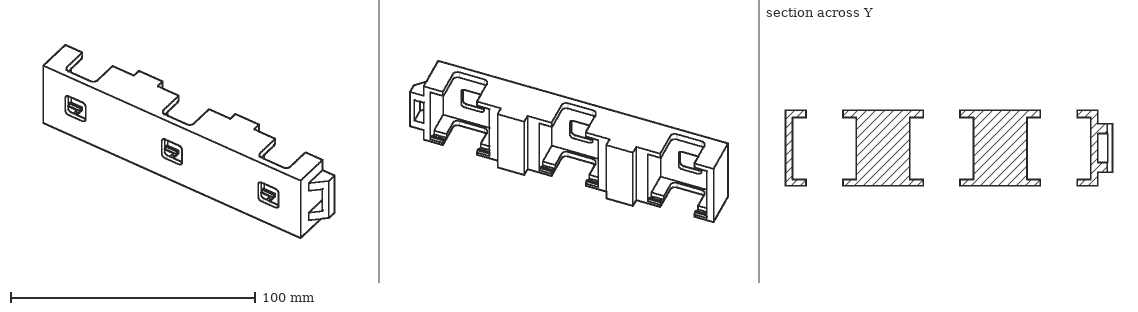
import cadquery as cq

body_length = 128.0
body_depth = 16.0
height = 31.0
mid_z = height / 2

channel_count = 3
channel_pitch = 48.0
first_channel_x = body_length / 2 - channel_pitch
channel_width = 15.0
front_plate = 3.0
channel_fillet = 2.0
window_size = 10.0
window_fillet = 1.6

tab_width = 11.8
tab_projection = 3.6

pocket_width = 26.0
window_plate = 2.0
upper_flange = 3.1
lower_flange = 2.7
entry_chamfer = 0.7

groove_start = 11.9
groove_floor = 0.5
lip_thickness = 1.6
lip_height = 2.0

overall_length = 134
catch_length = overall_length - body_length
catch_height = 20.0
catch_tip_depth = 4.2
catch_root_depth = 10.0
catch_opening_height = 11.8
catch_opening_length = 4.0

channel_centers = [first_channel_x + i * channel_pitch for i in range(channel_count)]
tab_centers = [x + channel_pitch / 2 for x in channel_centers[:-1]]


def block(x_start, y_start, z_start, x_size, y_size, z_size):
    """Axis-aligned box placed by its lowest corner."""
    box = cq.Workplane("XY").box(x_size, y_size, z_size, centered=False)
    return box.translate((x_start, y_start, z_start))


def make_channel(center_x):
    """Full-height channel with rounded corners along its floor."""
    depth = body_depth - front_plate
    channel = block(center_x - channel_width / 2, front_plate, 0, channel_width, depth, height)
    return channel.edges("|Z and <Y").fillet(channel_fillet)


def make_pocket(center_x):
    """Pocket with a flat ceiling and a floor that drops into a groove before the lip."""
    lip_start = body_depth - lip_thickness
    ceiling = height - upper_flange
    chamfer_start = body_depth - entry_chamfer
    profile = [
        (window_plate, lower_flange),
        (groove_start, lower_flange),
        (groove_start, groove_floor),
        (lip_start, groove_floor),
        (lip_start, lip_height),
        (chamfer_start, lip_height),
        (body_depth, lip_height - entry_chamfer),
        (body_depth, ceiling + entry_chamfer),
        (chamfer_start, ceiling),
        (window_plate, ceiling),
    ]
    pocket = cq.Workplane("YZ").polyline(profile).close().extrude(pocket_width)
    return pocket.translate((center_x - pocket_width / 2, 0, 0))


def make_window(center_x):
    """Rounded square opening through the front plate."""
    corner = (center_x - window_size / 2, 0, mid_z - window_size / 2)
    return block(*corner, window_size, front_plate, window_size).edges("|Y").fillet(window_fillet)


def make_tab(center_x):
    """Full-height tab on the back of the body."""
    return block(center_x - tab_width / 2, body_depth, 0, tab_width, tab_projection, height)


def make_catch():
    """Loop with a sloped front face, flush with the back of the body."""
    outline = [
        (body_length, body_depth),
        (body_length + catch_length, body_depth),
        (body_length + catch_length, body_depth - catch_tip_depth),
        (body_length, body_depth - catch_root_depth),
    ]
    loop = cq.Workplane("XY").polyline(outline).close().extrude(catch_height)
    loop = loop.translate((0, 0, mid_z - catch_height / 2))
    opening = block(
        body_length, 0, mid_z - catch_opening_height / 2,
        catch_opening_length, body_depth, catch_opening_height,
    )
    return loop.cut(opening)


result = block(0, 0, 0, body_length, body_depth, height)
for x in tab_centers:
    result = result.union(make_tab(x))
for x in channel_centers:
    result = result.cut(make_channel(x)).cut(make_window(x)).cut(make_pocket(x))
result = result.union(make_catch())